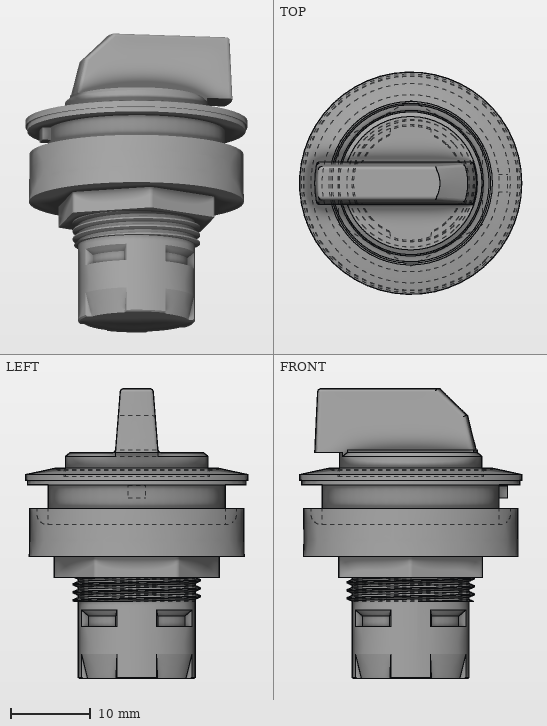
import cadquery as cq
import math

THREAD_BOTTOM = 9.7
NUT_BOTTOM = 12.7
COLLAR_BOTTOM = 15.3
GASKET_BOTTOM = 19.35
COLLAR_TOP = 21.35
FLANGE_BOTTOM = 24.3
FLANGE_RIM_BOTTOM = 24.87
FLANGE_RIM_TOP = 25.6
FLANGE_TOP = 26.4
CAP_TOP = 28.35
KNOB_TOP = 36.35

BARREL_RADIUS = 14.7 / 2
BARREL_CHAMFER = 0.18
THREAD_RADIUS = 16.0 / 2
THREAD_PITCH = 1.0
THREAD_START = 8.58
THREAD_TURNS = 5
THREAD_ROOT_WIDTH = 0.85
THREAD_CREST_WIDTH = 0.15
THREAD_OVERLAP = 0.15

POCKET_COUNT = 4
POCKET_WIDTH = 6.25
POCKET_FLOOR_WIDTH = 4.8
WINDOW_BOTTOM = 6.55
WINDOW_TOP = 8.6
WINDOW_FLOOR_RADIUS = 6.58
NOTCH_TOP = 3.05
NOTCH_END_RADIUS = 6.7

NUT_ACROSS_FLATS = 18.07
NUT_CORNER_RADIUS = 0.55

COLLAR_BOTTOM_RADIUS = 26.98 / 2
COLLAR_RADIUS = 26.87 / 2
GASKET_BORE_RADIUS = 25.0 / 2
GASKET_COVE_RADIUS = 1.27
NECK_RADIUS = 22.2 / 2
FLANGE_RADIUS = 27.9 / 2
FLANGE_STEP_RADIUS = 27.4 / 2

RECESS_RADIUS = 10.25
RECESS_LEDGE_RADIUS = 10.05
RECESS_FLOOR_RADIUS = 19.67 / 2
RECESS_DEPTH = 0.3
CAP_BORE_RADIUS = 18.25 / 2
CAP_GAP_DEPTH = 0.73

TAB_REACH = 12.15
TAB_WIDTH = 2.18
TAB_BOTTOM = 22.65
TAB_TOP = 24.2

CAP_RADIUS = 8.95
CAP_TOP_RADIUS = 8.35
CAP_CHAMFER_HEIGHT = 0.47
KNOB_BASE_WIDTH = 5.38
KNOB_TOP_WIDTH = 4.1
KNOB_BACK_BASE_RADIUS = 12.05
KNOB_BACK_TOP_RADIUS = 11.67
KNOB_NOSE_BASE_RADIUS = 8.33
KNOB_NOSE_SHOULDER_RADIUS = 7.15
KNOB_NOSE_TOP_RADIUS = 3.67
KNOB_SHOULDER = 32.98
KNOB_FILLET = 0.45
KNOB_FOOT_FILLET = 0.33

CLEARANCE = 0.35


def disc(radius, bottom, top):
    return cq.Workplane("XY").workplane(offset=bottom).circle(radius).extrude(top - bottom)


def revolved(profile, angle=360):
    """Turn (radius, height) points about the Z axis, starting from the +X side."""
    return cq.Workplane("XZ").polyline(profile).close().revolve(angle, (0, 0), (0, 1))


def make_body():
    """Barrel, collar, neck and flange as one turned profile."""
    recess_floor = FLANGE_TOP - RECESS_DEPTH
    recess_ledge = FLANGE_TOP - RECESS_DEPTH / 2
    gap_floor = recess_floor - CAP_GAP_DEPTH
    return revolved([
        (0, 0),
        (BARREL_RADIUS - BARREL_CHAMFER, 0),
        (BARREL_RADIUS, BARREL_CHAMFER),
        (BARREL_RADIUS, COLLAR_BOTTOM),
        (COLLAR_BOTTOM_RADIUS, COLLAR_BOTTOM),
        (COLLAR_RADIUS, GASKET_BOTTOM),
        (COLLAR_RADIUS, COLLAR_TOP),
        (GASKET_BORE_RADIUS, COLLAR_TOP),
        (GASKET_BORE_RADIUS, GASKET_BOTTOM),
        (NECK_RADIUS, GASKET_BOTTOM),
        (NECK_RADIUS, FLANGE_BOTTOM),
        (FLANGE_STEP_RADIUS, FLANGE_BOTTOM),
        (FLANGE_STEP_RADIUS, FLANGE_RIM_BOTTOM),
        (FLANGE_RADIUS, FLANGE_RIM_BOTTOM),
        (FLANGE_RADIUS, FLANGE_RIM_TOP),
        (RECESS_RADIUS, FLANGE_TOP),
        (RECESS_RADIUS, recess_ledge),
        (RECESS_LEDGE_RADIUS, recess_ledge),
        (RECESS_FLOOR_RADIUS, recess_floor),
        (CAP_BORE_RADIUS, recess_floor),
        (CAP_BORE_RADIUS, gap_floor),
        (0, gap_floor),
    ])


def make_gasket_cove():
    """Concave ring rounding the corner between the gasket bore and its floor."""
    floor_edge = GASKET_BORE_RADIUS - GASKET_COVE_RADIUS
    wall_edge = GASKET_BOTTOM + GASKET_COVE_RADIUS
    return (
        cq.Workplane("XZ")
        .moveTo(GASKET_BORE_RADIUS, GASKET_BOTTOM)
        .lineTo(floor_edge, GASKET_BOTTOM)
        .radiusArc((GASKET_BORE_RADIUS, wall_edge), -GASKET_COVE_RADIUS)
        .close()
        .revolve(360, (0, 0), (0, 1))
    )


def make_nut():
    across_corners = NUT_ACROSS_FLATS / math.cos(math.pi / 6)
    return (
        cq.Workplane("XY").workplane(offset=NUT_BOTTOM)
        .polygon(6, across_corners)
        .extrude(COLLAR_BOTTOM - NUT_BOTTOM)
        .edges("|Z").fillet(NUT_CORNER_RADIUS)
        .rotate((0, 0, 0), (0, 0, 1), 30)
    )


def make_thread():
    """Right-handed helical ridge, trimmed flat at both ends of the threaded length."""
    root_radius = BARREL_RADIUS - THREAD_OVERLAP
    path = cq.Wire.makeHelix(
        THREAD_PITCH, THREAD_PITCH * THREAD_TURNS, BARREL_RADIUS, cq.Vector(0, 0, THREAD_START)
    )
    ridge = (
        cq.Workplane("XZ")
        .polyline([
            (root_radius, THREAD_START - THREAD_ROOT_WIDTH / 2),
            (THREAD_RADIUS, THREAD_START - THREAD_CREST_WIDTH / 2),
            (THREAD_RADIUS, THREAD_START + THREAD_CREST_WIDTH / 2),
            (root_radius, THREAD_START + THREAD_ROOT_WIDTH / 2),
        ])
        .close()
        .sweep(cq.Workplane(obj=path), isFrenet=True)
    )
    return ridge.intersect(disc(THREAD_RADIUS + CLEARANCE, THREAD_BOTTOM, NUT_BOTTOM))


def chord_distance(radius, width):
    """Distance from the axis to a chord of the given width."""
    return math.sqrt(radius**2 - (width / 2) ** 2)


def pocket_wedge(bottom, top):
    """Block on the +X side whose side walls close in toward the axis."""
    mouth_distance = chord_distance(BARREL_RADIUS, POCKET_WIDTH)
    floor_distance = chord_distance(WINDOW_FLOOR_RADIUS, POCKET_FLOOR_WIDTH)
    wall_slope = (POCKET_WIDTH - POCKET_FLOOR_WIDTH) / 2 / (mouth_distance - floor_distance)
    tip = mouth_distance - POCKET_WIDTH / 2 / wall_slope
    reach = BARREL_RADIUS + CLEARANCE
    half_width = (reach - tip) * wall_slope
    return (
        cq.Workplane("XY").workplane(offset=bottom)
        .polyline([(tip, 0), (reach, half_width), (reach, -half_width)])
        .close()
        .extrude(top - bottom)
    )


def make_window():
    """Shallow pocket with a concentric floor and a roof that slopes at 45 degrees."""
    depth = BARREL_RADIUS - WINDOW_FLOOR_RADIUS
    core = revolved([
        (0, WINDOW_BOTTOM),
        (WINDOW_FLOOR_RADIUS, WINDOW_BOTTOM),
        (WINDOW_FLOOR_RADIUS, WINDOW_TOP - depth),
        (BARREL_RADIUS, WINDOW_TOP),
        (0, WINDOW_TOP),
    ])
    return pocket_wedge(WINDOW_BOTTOM, WINDOW_TOP).cut(core)


def make_notch():
    """Lead-in pocket whose conical floor deepens toward the end of the barrel."""
    core = revolved([
        (0, 0),
        (NOTCH_END_RADIUS, 0),
        (BARREL_RADIUS, NOTCH_TOP),
        (0, NOTCH_TOP),
    ])
    return pocket_wedge(0, NOTCH_TOP).cut(core)


def make_tab():
    return (
        cq.Workplane("XY").workplane(offset=TAB_BOTTOM)
        .center(TAB_REACH / 2, 0)
        .rect(TAB_REACH, TAB_WIDTH)
        .extrude(TAB_TOP - TAB_BOTTOM)
    )


def make_cap():
    """Turned cap; its chamfer is filled in below the overhanging end of the knob."""
    base = FLANGE_TOP - RECESS_DEPTH - CAP_GAP_DEPTH
    cap = revolved([
        (0, base),
        (CAP_RADIUS, base),
        (CAP_RADIUS, CAP_TOP - CAP_CHAMFER_HEIGHT),
        (CAP_TOP_RADIUS, CAP_TOP),
        (0, CAP_TOP),
    ])
    strip = (
        cq.Workplane("XY").workplane(offset=base)
        .center(-CAP_RADIUS / 2, 0)
        .rect(CAP_RADIUS, KNOB_BASE_WIDTH)
        .extrude(CAP_TOP - base)
    )
    return cap.union(strip.intersect(disc(CAP_RADIUS, base, CAP_TOP)))


def make_knob():
    """Drafted grip whose two ends are turned about the axis of the part."""
    half_base = KNOB_BASE_WIDTH / 2
    half_top = KNOB_TOP_WIDTH / 2
    half_length = KNOB_BACK_BASE_RADIUS + CLEARANCE
    grip = (
        cq.Workplane("YZ")
        .polyline([
            (-half_base, CAP_TOP), (half_base, CAP_TOP), (half_top, KNOB_TOP), (-half_top, KNOB_TOP),
        ])
        .close()
        .extrude(half_length, both=True)
    )
    back = revolved([
        (0, CAP_TOP),
        (KNOB_BACK_BASE_RADIUS, CAP_TOP),
        (KNOB_BACK_TOP_RADIUS, KNOB_TOP),
        (0, KNOB_TOP),
    ], 180).rotate((0, 0, 0), (0, 0, 1), 90)
    nose = revolved([
        (0, CAP_TOP),
        (KNOB_NOSE_BASE_RADIUS, CAP_TOP),
        (KNOB_NOSE_SHOULDER_RADIUS, KNOB_SHOULDER),
        (KNOB_NOSE_TOP_RADIUS, KNOB_TOP),
        (0, KNOB_TOP),
    ], 180).rotate((0, 0, 0), (0, 0, 1), -90)
    knob = grip.intersect(back).union(grip.intersect(nose)).clean()
    long_sides = knob.faces("<Y or >Y").edges("not <Z")
    back_top = knob.faces(">Z").edges("<X")
    return knob.newObject(long_sides.vals() + back_top.vals()).fillet(KNOB_FILLET)


def make_knob_foot():
    """Concave fillets between the long sides of the knob and the top of the cap."""
    half_base = KNOB_BASE_WIDTH / 2
    half_foot = half_base + KNOB_FOOT_FILLET
    return (
        cq.Workplane("YZ")
        .moveTo(-half_foot, CAP_TOP)
        .lineTo(half_foot, CAP_TOP)
        .radiusArc((half_base, CAP_TOP + KNOB_FOOT_FILLET), KNOB_FOOT_FILLET)
        .lineTo(-half_base, CAP_TOP + KNOB_FOOT_FILLET)
        .radiusArc((-half_foot, CAP_TOP), KNOB_FOOT_FILLET)
        .close()
        .extrude(CAP_TOP_RADIUS, both=True)
    )


body = make_body().union(make_gasket_cove()).union(make_nut()).union(make_tab())
pockets = make_window().union(make_notch())
for index in range(POCKET_COUNT):
    direction = 45 + index * 360 / POCKET_COUNT
    body = body.cut(pockets.rotate((0, 0, 0), (0, 0, 1), direction))

top_disc = disc(CAP_TOP_RADIUS, CAP_TOP, CAP_TOP + KNOB_FOOT_FILLET)
knob = make_knob().union(make_knob_foot().intersect(top_disc))
result = body.union(make_cap()).union(knob).union(make_thread())